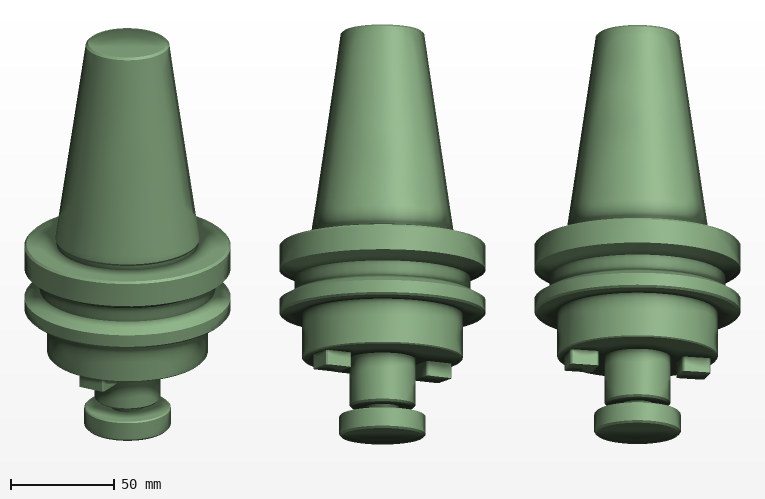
import cadquery as cq

total_height = 199.8
head_top = 10.2
pilot_bottom = 14.4
key_bottom = 31.0
body_bottom = 38.2
flange_bottom = 60.1
groove_lower_edge = 67.1
groove_floor_bottom = 71.3
groove_floor_top = 78.3
groove_upper_edge = 82.3
flange_top = 95.0
relief_top = 97.1
taper_bottom = 98.1

head_radius = 21.0
screw_neck_radius = 8.2
pilot_radius = 16.0
body_radius = 39.0
flange_diameter = 100.0
flange_radius = flange_diameter / 2
groove_radius = 42.5
relief_radius = 34.4
taper_base_radius = 35.0
taper_ratio = 7 / 24
taper_top_radius = taper_base_radius - (total_height - taper_bottom) * taper_ratio / 2

small_chamfer = 0.5
large_chamfer = 1.0

key_width = 14.0
key_inner_radius = 21.0
key_outer_radius = 35.0
key_chamfer = 0.8


def disc(radius, bottom, top):
    """Cylinder on the tool axis between two heights."""
    return cq.Workplane("XY").workplane(offset=bottom).circle(radius).extrude(top - bottom)


def clamping_screw():
    head = disc(head_radius, 0, head_top)
    head = head.faces("<Z").chamfer(large_chamfer).faces(">Z").chamfer(small_chamfer)
    return head.union(disc(screw_neck_radius, head_top, pilot_bottom))


def pilot_and_body():
    pilot = disc(pilot_radius, pilot_bottom, body_bottom).faces("<Z").chamfer(large_chamfer)
    body = disc(body_radius, body_bottom, flange_bottom).faces("<Z").chamfer(small_chamfer)
    return pilot.union(body)


def flange():
    """Gripper flange with a V groove around its rim."""
    outline = [
        (0, flange_bottom),
        (flange_radius - large_chamfer, flange_bottom),
        (flange_radius, flange_bottom + large_chamfer),
        (flange_radius, groove_lower_edge),
        (groove_radius, groove_floor_bottom),
        (groove_radius, groove_floor_top),
        (flange_radius, groove_upper_edge),
        (flange_radius, flange_top - large_chamfer),
        (flange_radius - large_chamfer, flange_top),
        (0, flange_top),
    ]
    return cq.Workplane("XZ").polyline(outline).close().revolve(360, (0, 0), (0, 1))


def taper_shank():
    """Steep taper that narrows through a short cone to a relief neck."""
    outline = [
        (0, flange_top),
        (relief_radius, flange_top),
        (relief_radius, relief_top),
        (taper_base_radius, taper_bottom),
        (taper_top_radius, total_height),
        (0, total_height),
    ]
    shank = cq.Workplane("XZ").polyline(outline).close().revolve(360, (0, 0), (0, 1))
    return shank.faces(">Z").chamfer(large_chamfer)


def drive_key(side):
    """Key below the body on the -Y (side = -1) or +Y (side = 1) side."""
    key_length = key_outer_radius - key_inner_radius
    key_height = body_bottom + large_chamfer - key_bottom
    center_y = side * (key_inner_radius + key_outer_radius) / 2
    block = cq.Workplane("XY").box(key_width, key_length, key_height, centered=(True, True, False))
    return block.edges("|Z").chamfer(key_chamfer).translate((0, center_y, key_bottom))


result = clamping_screw().union(pilot_and_body()).union(flange()).union(taper_shank())
for side in (-1, 1):
    result = result.union(drive_key(side))